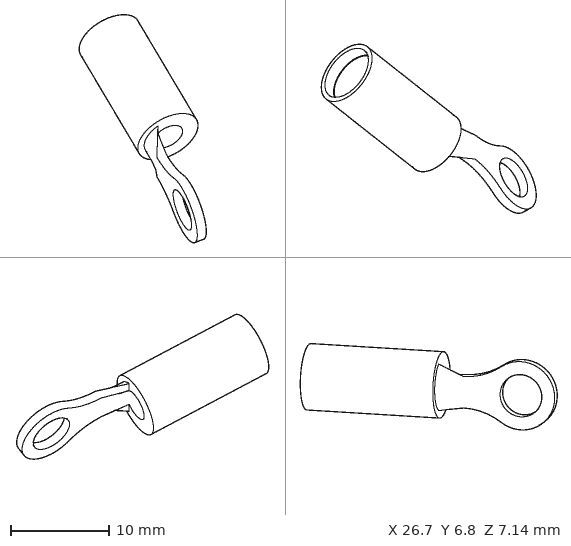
import cadquery as cq
import math

SLEEVE_LENGTH = 14.0
SLEEVE_DIAMETER = 6.8
MOUTH_DIAMETER = 5.8
MOUTH_DEPTH = 1.35
BORE_DIAMETER = 5.6
BORE_DEPTH = 5.3
WIRE_HOLE_DIAMETER = 3.3
FUNNEL_LENGTH = 3.7

OVERALL_LENGTH = 26.67
EYE_DIAMETER = 7.14
EYE_HOLE_DIAMETER = 4.39
TONGUE_THICKNESS = 1.03
TONGUE_WIDTH = 3.3

NECK_LENGTH = 3.05
TROUGH_RIM_Y = -1.14

TONGUE_HALF_WIDTH = TONGUE_WIDTH / 2
EYE_RADIUS = EYE_DIAMETER / 2
EYE_X = OVERALL_LENGTH - EYE_RADIUS
TONGUE_X = SLEEVE_LENGTH + NECK_LENGTH
BARREL_INNER_RADIUS = WIRE_HOLE_DIAMETER / 2
BARREL_OUTER_RADIUS = BARREL_INNER_RADIUS + TONGUE_THICKNESS
TONGUE_INNER_Y = -BARREL_INNER_RADIUS
TONGUE_OUTER_Y = -BARREL_OUTER_RADIUS


def make_sleeve():
    """Revolve the sleeve wall: mouth, bore, funnel and wire hole."""
    outer_radius = SLEEVE_DIAMETER / 2
    mouth_radius = MOUTH_DIAMETER / 2
    bore_radius = BORE_DIAMETER / 2
    wall = (
        cq.Workplane("XY")
        .moveTo(0, outer_radius)
        .lineTo(SLEEVE_LENGTH, outer_radius)
        .lineTo(SLEEVE_LENGTH, BARREL_INNER_RADIUS)
        .lineTo(BORE_DEPTH + FUNNEL_LENGTH, BARREL_INNER_RADIUS)
        .lineTo(BORE_DEPTH, bore_radius)
        .lineTo(MOUTH_DEPTH, bore_radius)
        .lineTo(MOUTH_DEPTH, mouth_radius)
        .lineTo(0, mouth_radius)
        .close()
    )
    return wall.revolve(360, (0, 0, 0), (1, 0, 0))


def rim_point(radius, y):
    """Point (y, z) with positive z on a circle about the sleeve axis."""
    return (y, math.sqrt(radius**2 - y**2))


def mirrored(point):
    """Point reflected to the other side of the Z = 0 plane."""
    return (point[0], -point[1])


def make_neck():
    """Loft the trough section at the sleeve into the rectangular tongue section."""
    outer_tip = rim_point(BARREL_OUTER_RADIUS, TROUGH_RIM_Y)
    inner_tip = rim_point(BARREL_INNER_RADIUS, TROUGH_RIM_Y)
    outer_middle = rim_point(BARREL_OUTER_RADIUS, (TROUGH_RIM_Y - BARREL_OUTER_RADIUS) / 2)
    inner_middle = rim_point(BARREL_INNER_RADIUS, (TROUGH_RIM_Y - BARREL_INNER_RADIUS) / 2)
    outer_bottom = (TONGUE_OUTER_Y, 0)
    inner_bottom = (TONGUE_INNER_Y, 0)
    outer_corner = (TONGUE_OUTER_Y, TONGUE_HALF_WIDTH)
    inner_corner = (TONGUE_INNER_Y, TONGUE_HALF_WIDTH)
    sections = (
        cq.Workplane("YZ", origin=(SLEEVE_LENGTH, 0, 0))
        .moveTo(*outer_bottom)
        .threePointArc(outer_middle, outer_tip)
        .lineTo(*inner_tip)
        .threePointArc(inner_middle, inner_bottom)
        .threePointArc(mirrored(inner_middle), mirrored(inner_tip))
        .lineTo(*mirrored(outer_tip))
        .threePointArc(mirrored(outer_middle), outer_bottom)
        .close()
        .workplane(offset=NECK_LENGTH)
        .moveTo(*outer_bottom)
        .lineTo(*outer_corner)
        .lineTo(*inner_corner)
        .lineTo(*inner_bottom)
        .lineTo(*mirrored(inner_corner))
        .lineTo(*mirrored(outer_corner))
        .lineTo(*outer_bottom)
        .close()
    )
    return sections.loft(ruled=True)


def make_tongue():
    """Extrude the eye and its flared shank, then cut the stud hole."""
    run = EYE_X - TONGUE_X
    widening = EYE_RADIUS - TONGUE_HALF_WIDTH
    flare_radius = (run**2 + TONGUE_HALF_WIDTH**2 - EYE_RADIUS**2) / (2 * widening)
    flare_center_z = TONGUE_HALF_WIDTH + flare_radius
    flare_angle = math.atan2(run, flare_center_z)
    blend = (EYE_X - EYE_RADIUS * math.sin(flare_angle), EYE_RADIUS * math.cos(flare_angle))
    flare_middle = (
        TONGUE_X + flare_radius * math.sin(flare_angle / 2),
        flare_center_z - flare_radius * math.cos(flare_angle / 2),
    )
    outline = (
        cq.Workplane("XZ", origin=(0, TONGUE_INNER_Y, 0))
        .moveTo(TONGUE_X, -TONGUE_HALF_WIDTH)
        .lineTo(TONGUE_X, TONGUE_HALF_WIDTH)
        .threePointArc(flare_middle, blend)
        .threePointArc((OVERALL_LENGTH, 0), mirrored(blend))
        .threePointArc(mirrored(flare_middle), (TONGUE_X, -TONGUE_HALF_WIDTH))
        .close()
    )
    stud_hole = (
        cq.Workplane("XZ", origin=(0, TONGUE_INNER_Y, 0))
        .center(EYE_X, 0)
        .circle(EYE_HOLE_DIAMETER / 2)
        .extrude(TONGUE_THICKNESS)
    )
    return outline.extrude(TONGUE_THICKNESS).cut(stud_hole)


result = make_sleeve().union(make_neck()).union(make_tongue())